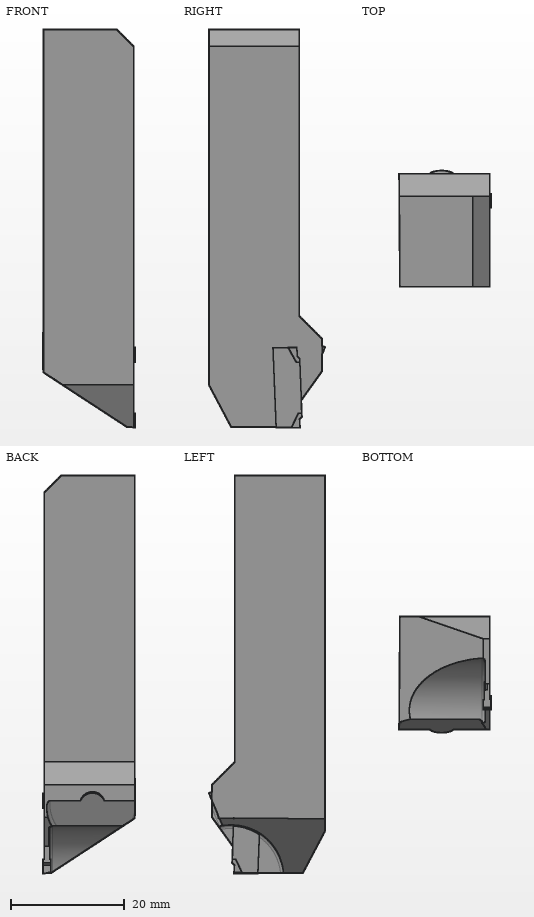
import cadquery as cq
import math


total_height = 70.0
holder_width = 15.95
shank_depth = 15.9
head_depth = 19.9
head_top_z = 15.7
head_foot_z = 9.95
holder_foot_z = 0.15
foot_back_y = 12.9
front_relief_z = 7.55
front_relief_y = 3.9
top_chamfer = 3.0
side_slope_z = 9.8
tip_width = 1.4
side_taper = 0.15

insert_length = 14.15
end_lead = 0.3
tip_side_overhang = 0.2
tip_max_x = holder_width + tip_side_overhang
tip_min_x = tip_max_x - tip_width
blade_min_x = tip_min_x + tip_side_overhang
insert_seat_y = 11.8
insert_edge_y = 16.45
insert_lean = 0.04
tip_step_y = 0.4
tip_step_low_z = 1.55
tip_step_high_z = 1.95
tip_height = 2.6
tip_shoulder_y = 0.6
tip_reach_y = 1.95

scoop_radius = 9.25
scoop_y = 16.5
scoop_z = -0.6
scoop_floor_x = blade_min_x + 0.15
floor_fillet = 0.55

seat_top_z = 12.9
seat_angle = 23.0
seat_radius = 8.05
seat_depth = 7.0
screw_x = 7.5
screw_radius = 2.25
screw_head_height = 1.4
screw_overhang = 0.55


def extrude_along_x(points, start_x, end_x):
    """Extrude an outline of (Y, Z) points between two X positions."""
    return (
        cq.Workplane("YZ", origin=(start_x, 0, 0))
        .polyline(points)
        .close()
        .extrude(end_x - start_x)
    )


def holder_blank():
    """Side outline of the shank and head, trimmed to the front outline and the leaning side."""
    shoulder_z = head_top_z + head_depth - shank_depth
    side = extrude_along_x(
        [
            (0, total_height),
            (shank_depth, total_height),
            (shank_depth, shoulder_z),
            (head_depth, head_top_z),
            (head_depth, head_foot_z),
            (foot_back_y, holder_foot_z),
            (front_relief_y, holder_foot_z),
            (0, front_relief_z),
        ],
        0,
        holder_width,
    )
    front = (
        cq.Workplane("XZ")
        .polyline([
            (0, total_height),
            (holder_width - top_chamfer, total_height),
            (holder_width, total_height - top_chamfer),
            (holder_width, holder_foot_z),
            (tip_min_x, holder_foot_z),
            (0, side_slope_z),
        ])
        .close()
        .extrude(-head_depth)
    )
    taper_wedge = (
        cq.Workplane("XY")
        .polyline([(0, 0), (side_taper, 0), (0, head_depth)])
        .close()
        .extrude(total_height)
    )
    return side.intersect(front).cut(taper_wedge)


def scoop():
    return (
        cq.Workplane("YZ", origin=(scoop_floor_x, scoop_y, scoop_z))
        .circle(scoop_radius)
        .extrude(-scoop_floor_x)
        .faces(">X")
        .edges()
        .fillet(floor_fillet)
    )


def seat_disc(radius, height):
    """Disc about the screw axis, raised from the seat plane; a negative height goes into the head."""
    angle = math.radians(seat_angle)
    center_below_edge = screw_radius - screw_overhang / math.sin(angle)
    center = (
        screw_x,
        head_depth - center_below_edge * math.sin(angle),
        seat_top_z - center_below_edge * math.cos(angle),
    )
    outward = (0, math.cos(angle), -math.sin(angle))
    plane = cq.Plane(origin=center, xDir=(1, 0, 0), normal=outward)
    return cq.Workplane(plane).circle(radius).extrude(height)


def make_insert():
    """Leaning blade with a stepped cutting edge and a wider tip at both ends."""
    def edge_at(z):
        return insert_edge_y - insert_lean * z

    def seat_at(z):
        return insert_seat_y - insert_lean * z

    def stepped_edge(flip):
        return [
            (edge_at(flip(z)) - step, flip(z))
            for z, step in [(0, tip_step_y), (tip_step_low_z, tip_step_y), (tip_step_high_z, 0)]
        ]

    def from_bottom(z):
        return z

    def from_top(z):
        return insert_length - z

    blade = extrude_along_x(
        [
            (seat_at(0), 0),
            *stepped_edge(from_bottom),
            *reversed(stepped_edge(from_top)),
            (seat_at(insert_length), insert_length),
        ],
        blade_min_x,
        holder_width,
    )
    for flip in (from_bottom, from_top):
        shoulder_y = edge_at(flip(tip_height))
        tip_outline = [
            *stepped_edge(flip),
            (shoulder_y, flip(tip_height)),
            (shoulder_y - tip_shoulder_y, flip(tip_height)),
            (edge_at(flip(0)) - tip_reach_y, flip(0)),
        ]
        blade = blade.union(extrude_along_x(tip_outline, tip_min_x, tip_max_x))
    sloped_ends = (
        cq.Workplane("XZ")
        .polyline([
            (tip_min_x, end_lead),
            (tip_max_x, 0),
            (tip_max_x, insert_length),
            (tip_min_x, insert_length - end_lead),
        ])
        .close()
        .extrude(-head_depth)
    )
    return blade.intersect(sloped_ends)


insert = make_insert()
screw_seat = seat_disc(seat_radius, seat_depth).faces("<Y").edges().fillet(floor_fillet)
screw_head = seat_disc(screw_radius, -screw_head_height)
holder = holder_blank().cut(scoop()).cut(screw_seat).union(screw_head).cut(insert)

result = cq.Compound.makeCompound([holder.val(), insert.val()])